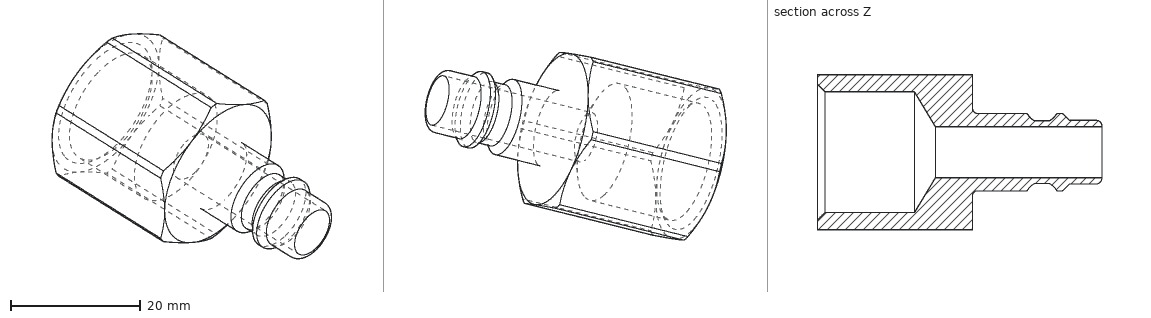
import cadquery as cq
import math

hexagon_sides = 6
hexagon_half_angle = 180 / hexagon_sides
across_flats = 24.0
corner_diameter = 27.0
body_length = 24.0
end_chamfer_angle = 30.0

socket_diameter = 18.63
socket_mouth_diameter = 21.0
socket_depth = 15.0
drill_point_angle = 118.0
through_diameter = 7.85

total_length = 44.0
collar_diameter = 12.0
neck_diameter = 9.75
tip_diameter = 9.9
root_fillet = 0.75
tip_fillet = 0.92
groove_flank_radius = 3.0
shank_end = 32.42
neck_start = 33.55
neck_end = 35.85
rib_start = 37.0
rib_end = 37.9
tip_start = rib_end + (collar_diameter - tip_diameter) / 2

overrun = 1.0


def revolve_about_x(profile):
    """Close an (x, radius) profile and revolve it a full turn about the X axis."""
    return profile.close().revolve(360, (0, 0, 0), (1, 0, 0))


def hexagonal_body():
    """Hexagonal prism with turned corners and conical chamfers on both ends."""
    hexagon_corner_diameter = across_flats / math.cos(math.radians(hexagon_half_angle))
    prism = (
        cq.Workplane("YZ")
        .polygon(hexagon_sides, hexagon_corner_diameter)
        .extrude(body_length)
        .rotate((0, 0, 0), (1, 0, 0), hexagon_half_angle)
    )
    face_radius = across_flats / 2
    corner_radius = corner_diameter / 2
    chamfer_length = (corner_radius - face_radius) * math.tan(math.radians(end_chamfer_angle))
    envelope = revolve_about_x(
        cq.Workplane("XY")
        .moveTo(0, 0)
        .lineTo(0, face_radius)
        .lineTo(chamfer_length, corner_radius)
        .lineTo(body_length - chamfer_length, corner_radius)
        .lineTo(body_length, face_radius)
        .lineTo(body_length, 0)
    )
    return prism.intersect(envelope)


def plug_nipple():
    """Turned nipple with a shank, a locking groove with concave flanks, a rib and a rounded tip."""
    collar_radius = collar_diameter / 2
    neck_radius = neck_diameter / 2
    tip_radius = tip_diameter / 2
    return revolve_about_x(
        cq.Workplane("XY")
        .moveTo(body_length - overrun, 0)
        .lineTo(body_length - overrun, collar_radius + root_fillet)
        .lineTo(body_length, collar_radius + root_fillet)
        .radiusArc((body_length + root_fillet, collar_radius), -root_fillet)
        .lineTo(shank_end, collar_radius)
        .radiusArc((neck_start, neck_radius), -groove_flank_radius)
        .lineTo(neck_end, neck_radius)
        .radiusArc((rib_start, collar_radius), -groove_flank_radius)
        .lineTo(rib_end, collar_radius)
        .lineTo(tip_start, tip_radius)
        .lineTo(total_length - tip_fillet, tip_radius)
        .radiusArc((total_length, tip_radius - tip_fillet), tip_fillet)
        .lineTo(total_length, 0)
    )


def bore():
    """Socket with a 45 degree mouth chamfer, a conical bottom and the through hole."""
    mouth_radius = socket_mouth_diameter / 2
    socket_radius = socket_diameter / 2
    through_radius = through_diameter / 2
    mouth_depth = mouth_radius - socket_radius
    point_length = (socket_radius - through_radius) / math.tan(math.radians(drill_point_angle / 2))
    return revolve_about_x(
        cq.Workplane("XY")
        .moveTo(0, 0)
        .lineTo(0, mouth_radius)
        .lineTo(mouth_depth, socket_radius)
        .lineTo(socket_depth, socket_radius)
        .lineTo(socket_depth + point_length, through_radius)
        .lineTo(total_length, through_radius)
        .lineTo(total_length, 0)
    )


result = hexagonal_body().union(plug_nipple()).cut(bore())